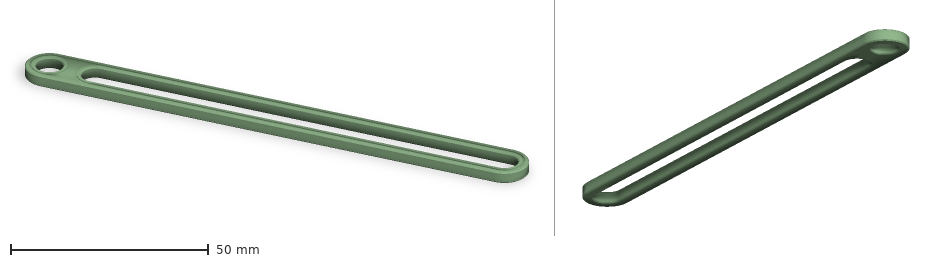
import cadquery as cq

pitch = 125.0
bar_width = 12.5
thickness = bar_width / 4

opening_width = 7.0
hole_x = -pitch / 2
slot_start_x = hole_x + bar_width
slot_end_x = pitch / 2

rim_outer_width = 9.2
edge_rim_width = (rim_outer_width - opening_width) / 2
recess_width = bar_width - 2 * edge_rim_width
recess_depth = 0.2

edge_chamfer = 0.3


def stadium(start_x, end_x, width, bottom_z, top_z):
    """Round-ended block along X; the end arcs are centred on start_x and end_x."""
    length = end_x - start_x + width
    return (
        cq.Workplane("XY", origin=((start_x + end_x) / 2, 0, bottom_z))
        .slot2D(length, width)
        .extrude(top_z - bottom_z)
    )


def cylinder(center_x, diameter, bottom_z, top_z):
    """Round block standing along Z and centred on the X axis at center_x."""
    return (
        cq.Workplane("XY", origin=(center_x, 0, bottom_z))
        .circle(diameter / 2)
        .extrude(top_z - bottom_z)
    )


def make_recess():
    """Volume removed from the top face, leaving the rims standing."""
    floor_z = thickness - recess_depth
    return (
        stadium(hole_x, slot_end_x, recess_width, floor_z, thickness)
        .cut(cylinder(hole_x, rim_outer_width, floor_z, thickness))
        .cut(stadium(slot_start_x, slot_end_x, rim_outer_width, floor_z, thickness))
    )


def make_bar():
    """Plain bar with its two openings, chamfered along every edge of both faces."""
    bar = stadium(hole_x, slot_end_x, bar_width, 0, thickness)
    hole = cylinder(hole_x, opening_width, 0, thickness)
    slot = stadium(slot_start_x, slot_end_x, opening_width, 0, thickness)
    return bar.cut(hole).cut(slot).faces("<Z or >Z").edges().chamfer(edge_chamfer)


result = make_bar().cut(make_recess())